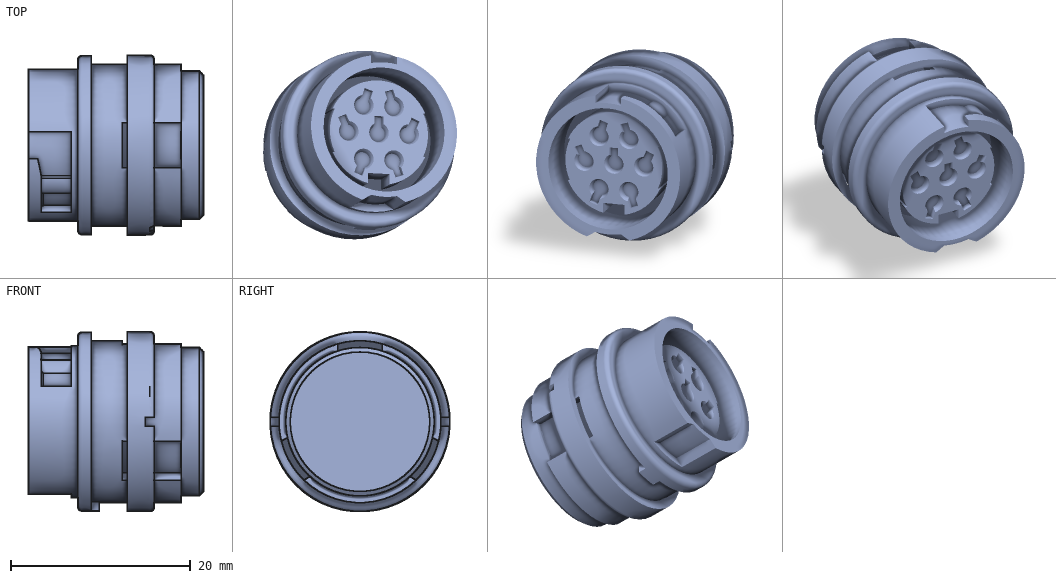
import cadquery as cq
import math

total_length = 19.5
flange_start = 5.5
flange_end = 7.0
nut_start = 11.0
nut_end = 14.0
thread_end = 17.0

front_radius = 8.45
flange_radius = 9.95
thread_radius = 9.0
nut_radius = 10.0
rear_radius = 8.25
edge_round = 0.5
rear_chamfer = 0.5

bore_radius = 7.0
bore_depth = 5.5
insert_face = 2.0
insert_radius = 5.9
insert_side_radius = 5.68
insert_side_half_height = 2.45
key_width = 2.5
key_top = -4.62

contact_pitch = 3.5
contact_mouth_radius = 1.13
contact_floor_radius = 0.87
contact_depth = 0.7
contact_slot_width = 1.0
contact_slot_reach = 1.87
middle_slot_angle = 66
upper_slot_angle = 108
lower_slot_angle = -70

track_end = 4.78
track_floor_radius = 7.6
entry_half_width = 1.5
ramp_start = 1.05
ramp_end = 1.44
ramp_end_y = -3.4
track_stop_angle = 152.0
detent_start_angle = 116.4
detent_start_radius = 7.81
detent_crest_start_angle = 118.3
detent_end_angle = 135.0
detent_crest_angle = (detent_start_angle + detent_end_angle) / 2
detent_crest_radius = 8.0
track_foot_height = 0.1
track_foot_length = 0.24
keyway_floor_half_width = 1.5
keyway_mouth_half_width = 2.5

notch_start = 10.45
notch_width = 5.0
notch_floor_radius = 7.5
notch_count = 3
lip_width = 3.0
lip_size = 0.07

tab_width = 2.5
tab_length = 0.9
tab_overlap = 0.5
tab_root = thread_radius - tab_overlap
nut_slot_width = 1.0
nut_slot_length = 1.0


def cylinder(start, end, radius):
    """Solid cylinder around the X axis between two stations, with its seam on the +Z side."""
    section = cq.Plane(origin=(start, 0, 0), xDir=(0, 0, 1), normal=(1, 0, 0))
    return cq.Workplane(section).circle(radius).extrude(end - start)


def ring(start, end, inner, outer):
    """Tube around the X axis between two stations."""
    return cylinder(start, end, outer).cut(cylinder(start, end, inner))


def block(x_range, y_range, z_range):
    """Box given by its limits along the three axes."""
    sizes = [limits[1] - limits[0] for limits in (x_range, y_range, z_range)]
    corner = (x_range[0], y_range[0], z_range[0])
    return cq.Workplane("XY").box(*sizes, centered=False).translate(corner)


def polar(radius, angle):
    """(Y, Z) point at an angle in degrees, measured from +Y towards +Z."""
    return (radius * math.cos(math.radians(angle)), radius * math.sin(math.radians(angle)))


def sector(start, end, first_angle, last_angle):
    """Wedge with its tip on the X axis, between two stations and two angles, reaching past the part."""
    reach = 2 * nut_radius
    return (
        cq.Workplane("YZ", origin=(start, 0, 0))
        .lineTo(*polar(reach, first_angle))
        .lineTo(*polar(reach, last_angle))
        .close()
        .extrude(end - start)
    )


def make_shell():
    """Turned outside of the connector: sleeve, flange, thread, nut and rear spigot."""
    flange = cylinder(flange_start, flange_end, flange_radius).faces("<X").edges().fillet(edge_round)
    nut = cylinder(nut_start, nut_end, nut_radius).faces(">X").edges().fillet(edge_round)
    nut = nut.cut(cylinder(nut_start, nut_end, thread_radius)).cut(nut_slots())
    rear = cylinder(thread_end, total_length, rear_radius).faces(">X").edges().chamfer(rear_chamfer)
    sleeve = cylinder(0, flange_start, front_radius)
    thread = cylinder(flange_end, thread_end, thread_radius).cut(thread_notches())
    return sleeve.union(flange).union(thread).union(nut).union(rear)


def thread_notches():
    """Three lengthwise notches around the threaded body, with a tiny lip at the foot of the rear wall."""
    notch = block((notch_start, thread_end), (-notch_width / 2, notch_width / 2), (0, nut_radius))
    lip = block(
        (thread_end - lip_size, thread_end),
        (-lip_width / 2, lip_width / 2),
        (0, notch_floor_radius + lip_size),
    )
    notch = notch.cut(lip).cut(cylinder(notch_start, thread_end, notch_floor_radius))
    notches = notch
    for index in range(1, notch_count):
        notches = notches.union(notch.rotate((0, 0, 0), (1, 0, 0), index * 360 / notch_count))
    return notches


def nut_slots():
    """Two opposite spanner slots in the rear face of the nut."""
    slots = block(
        (nut_end - nut_slot_length, nut_end),
        (-nut_radius, nut_radius),
        (-nut_slot_width / 2, nut_slot_width / 2),
    )
    return slots.cut(cylinder(nut_start, nut_end, thread_radius))


def locating_tab():
    """Small anti-rotation tab behind the flange."""
    tab = block(
        (flange_end, flange_end + tab_length),
        (-tab_width / 2, tab_width / 2),
        (-nut_radius, -tab_root),
    )
    return tab.intersect(cylinder(flange_end, nut_start, flange_radius))


def bayonet_track():
    """Entry slot, ramp and locking run of the bayonet track, with the detent hump left standing."""
    entry = (
        cq.Workplane("XY")
        .moveTo(0, entry_half_width)
        .lineTo(track_end, entry_half_width)
        .lineTo(track_end, ramp_end_y)
        .lineTo(ramp_end, ramp_end_y)
        .lineTo(ramp_start, -entry_half_width)
        .lineTo(0, -entry_half_width)
        .close()
        .extrude(nut_radius)
    )
    run_angle = 90 + math.degrees(math.asin(-ramp_end_y / front_radius))
    run = sector(ramp_end, track_end, run_angle, track_stop_angle)
    track = entry.union(run).intersect(ring(0, track_end, track_floor_radius, nut_radius))
    return track.cut(detent_hump()).cut(track_foot())


def detent_hump():
    """Rounded hump on the track floor that holds the coupling in its locked position."""
    return (
        cq.Workplane("YZ", origin=(ramp_end, 0, 0))
        .moveTo(*polar(bore_radius, detent_start_angle))
        .lineTo(*polar(track_floor_radius, detent_start_angle))
        .lineTo(*polar(detent_start_radius, detent_crest_start_angle))
        .threePointArc(
            polar(detent_crest_radius, detent_crest_angle),
            polar(track_floor_radius, detent_end_angle),
        )
        .lineTo(*polar(bore_radius, detent_end_angle))
        .close()
        .extrude(track_end - ramp_end)
    )


def track_foot():
    """Sloping foot where the front wall of the locking run meets its floor."""
    cone = cq.Solid.makeCone(
        track_floor_radius + track_foot_height,
        track_floor_radius,
        track_foot_length,
        pnt=cq.Vector(ramp_end, 0, 0),
        dir=cq.Vector(1, 0, 0),
    )
    return sector(ramp_end, track_end, detent_crest_angle, track_stop_angle).intersect(cq.Workplane(cone))


def polarising_keyway():
    """Keyway with sloping flanks along the bottom of the front sleeve."""
    floor_z = -math.sqrt(track_floor_radius**2 - keyway_floor_half_width**2)
    mouth_z = -math.sqrt(front_radius**2 - keyway_mouth_half_width**2)
    return (
        cq.Workplane("YZ")
        .moveTo(-keyway_floor_half_width, floor_z)
        .threePointArc((0, -track_floor_radius), (keyway_floor_half_width, floor_z))
        .lineTo(keyway_mouth_half_width, mouth_z)
        .lineTo(keyway_mouth_half_width, -nut_radius)
        .lineTo(-keyway_mouth_half_width, -nut_radius)
        .lineTo(-keyway_mouth_half_width, mouth_z)
        .close()
        .extrude(track_end)
    )


def contact_cavity(y, z, slot_angle):
    """Tapered contact hole with a side slot pointing along slot_angle."""
    taper = math.degrees(math.atan((contact_mouth_radius - contact_floor_radius) / contact_depth))
    hole = cq.Workplane("YZ").circle(contact_mouth_radius).extrude(contact_depth, taper=taper)
    slot = block(
        (0, contact_depth),
        (0, contact_slot_reach),
        (-contact_slot_width / 2, contact_slot_width / 2),
    ).rotate((0, 0, 0), (1, 0, 0), slot_angle)
    return hole.union(slot).translate((insert_face, y, z))


def make_insert():
    """Contact insert standing in the bore: stepped outline, key slot and seven contact cavities."""
    insert = cylinder(insert_face, bore_depth, insert_radius)
    waist = block(
        (insert_face, bore_depth),
        (-bore_radius, bore_radius),
        (-insert_side_half_height, insert_side_half_height),
    )
    insert = insert.cut(waist.cut(cylinder(insert_face, bore_depth, insert_side_radius)))
    key_slot = block((insert_face, bore_depth), (-key_width / 2, key_width / 2), (-bore_radius, key_top))
    insert = insert.cut(key_slot)
    row_height = contact_pitch * math.sqrt(3) / 2
    contacts = [
        (0, 0, 90),
        (contact_pitch, 0, middle_slot_angle),
        (contact_pitch / 2, row_height, upper_slot_angle),
        (contact_pitch / 2, -row_height, lower_slot_angle),
        (-contact_pitch, 0, 180 - middle_slot_angle),
        (-contact_pitch / 2, row_height, 180 - upper_slot_angle),
        (-contact_pitch / 2, -row_height, 180 - lower_slot_angle),
    ]
    for y, z, slot_angle in contacts:
        insert = insert.cut(contact_cavity(y, z, slot_angle))
    return insert


shell = make_shell().union(locating_tab())
shell = shell.cut(cylinder(0, bore_depth, bore_radius))
shell = shell.cut(bayonet_track()).cut(polarising_keyway())
result = shell.union(make_insert())